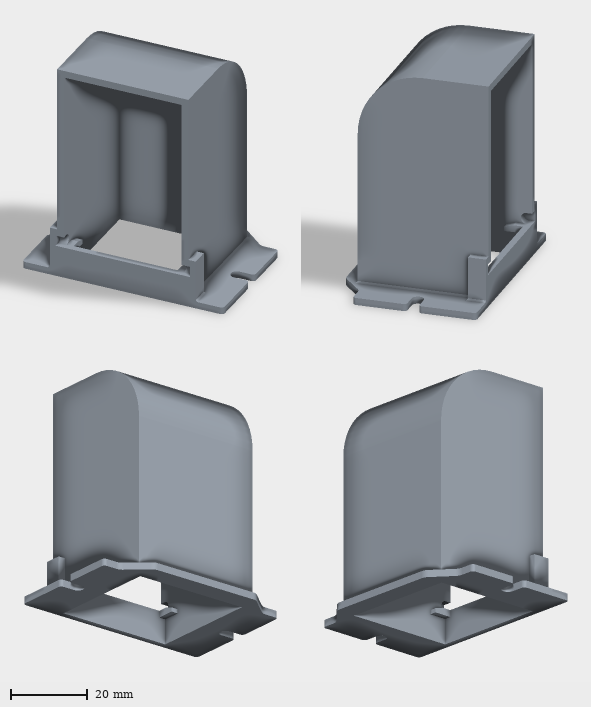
import cadquery as cq

base_width = 58.0
base_depth = 40.0
total_height = 62.0
wall = 2.0

shoulder_y = 34.0
shoulder_half_width = 23.8
tongue_half_width = 16.85
flange_corner_radius = 1.0
tongue_corner_radius = 2.5
slot_y = 17.55
slot_width = 3.35
slot_depth = 6.1

hood_width = 37.8
hood_depth = 35.95
hood_radius = 17.85
cavity_width = hood_width - 2 * wall

post_width = 42.05
post_depth = 4.95
post_top = 14.0
sill_top = 9.0
sill_thickness = 1.85
foot_bevel = 0.5

recess_width = 38.7
recess_top = 12.0
recess_straight_depth = 1.6

rib_width = wall
rib_height = 1.9
rib_flat_length = 2.65
rib_length = 5.2
rib_end_drop = 0.75


def front_block(width, depth, bottom, top):
    """Block centred on X with its front face at Y = 0."""
    block = cq.Workplane("XY").box(width, depth, top - bottom, centered=(True, False, False))
    return block.translate((0, 0, bottom))


def make_flange():
    half_width = base_width / 2
    outline = [
        (-half_width, 0),
        (half_width, 0),
        (half_width, shoulder_y),
        (shoulder_half_width, shoulder_y),
        (tongue_half_width, base_depth),
        (-tongue_half_width, base_depth),
        (-shoulder_half_width, shoulder_y),
        (-half_width, shoulder_y),
    ]
    flange = cq.Workplane("XY").polyline(outline).close().extrude(wall)

    slots = (
        cq.Workplane("XY")
        .pushPoints([(-half_width, slot_y), (half_width, slot_y)])
        .slot2D(2 * slot_depth, slot_width)
        .extrude(wall)
    )
    flange = flange.cut(slots)
    flange = flange.edges("|Z and (<X or >X)").fillet(flange_corner_radius)

    margin = 0.05
    tongue_corners = cq.selectors.BoxSelector(
        (-shoulder_half_width - margin, shoulder_y - margin, -margin),
        (shoulder_half_width + margin, base_depth + margin, wall + margin),
    )
    return flange.edges("|Z").edges(tongue_corners).fillet(tongue_corner_radius)


def hood_solid(width, depth, height, radius):
    """Solid running back from Y = 0 with a rounded upper rear edge."""
    block = front_block(width, depth, 0, height)
    return block.edges("|X and >Y and >Z").fillet(radius)


def make_foot(width, depth):
    """Bevelled skirt on the flange, flush with the front face."""
    skirt = front_block(width + 2 * foot_bevel, depth + foot_bevel, wall, wall + foot_bevel)
    bevel = foot_bevel - 0.0005
    return skirt.faces(">Z").edges("<X or >X or >Y").chamfer(bevel)


def make_recesses():
    """Recesses behind the front face, each closed at the rear by a half round."""
    radius = (recess_top - sill_top) / 2
    arc_mid = (recess_straight_depth + radius, sill_top + radius)
    return (
        cq.Workplane("YZ")
        .moveTo(0, sill_top)
        .lineTo(recess_straight_depth, sill_top)
        .threePointArc(arc_mid, (recess_straight_depth, recess_top))
        .lineTo(0, recess_top)
        .close()
        .extrude(recess_width / 2, both=True)
    )


def make_rib():
    """Rib on the +X side wall, with its top sloping down towards the rear."""
    bottom = sill_top - rib_height
    profile = [
        (0, bottom),
        (0, sill_top),
        (sill_thickness + rib_flat_length, sill_top),
        (sill_thickness + rib_length, sill_top - rib_end_drop),
        (sill_thickness + rib_length, bottom),
    ]
    rib = cq.Workplane("YZ").polyline(profile).close().extrude(rib_width)
    return rib.translate((cavity_width / 2 - rib_width, 0, 0))


body = (
    make_flange()
    .union(hood_solid(hood_width, hood_depth, total_height, hood_radius))
    .union(front_block(post_width, post_depth, 0, post_top))
    .union(make_foot(hood_width, hood_depth))
    .union(make_foot(post_width, post_depth))
)

cavity = hood_solid(cavity_width, hood_depth - wall, total_height - wall, hood_radius - wall)
sill = front_block(cavity_width, sill_thickness, 0, sill_top)
rib = make_rib()

result = (
    body.cut(cavity)
    .union(sill)
    .cut(make_recesses())
    .union(rib)
    .union(rib.mirror("YZ"))
)